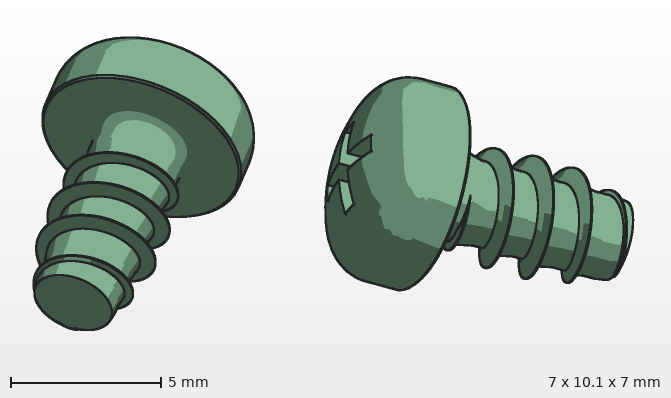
import cadquery as cq
import math

head_radius = 3.5
crown_height = 3.07
crown_radius = 5.86
head_edge_radius = 1.36
head_chamfer = 0.07

recess_width = 0.66
recess_length = 3.3
recess_depth = 1.8

shank_length = 7.0
neck_radius = 1.57
neck_fillet = 0.6
neck_end = -1.0
neck_cone_end = -1.63
core_radius = 1.41
tip_radius = 1.36
tip_taper_length = 0.35
tip_dimple_radius = 1.29
tip_dimple_depth = 0.1

pitch = 1.46
lead_in_turns = 1.5
full_turns = 1.5
run_out_turns = 1.55
thread_start = -0.435
start_angle = 90.0
points_per_turn = 24
thread_root_radius = 1.2

lead_in_section = [(0.30, 1.30), (0.12, 1.50), (0.02, 1.63), (-0.02, 1.63), (-0.05, 1.56), (-1.0, 1.38)]
full_section = [(0.37, 1.30), (0.15, 1.64), (0.02, 2.02), (-0.02, 2.02), (-0.19, 1.54), (-1.0, 1.38)]
run_out_section = [(0.07, 1.30), (0.05, 1.34), (0.02, 1.40), (-0.02, 1.40), (-0.05, 1.39), (-1.0, 1.24)]


def revolve_about_y(profile):
    return profile.close().revolve(360, (0, 0, 0), (0, 1, 0))


def make_body():
    """Head, neck and core of the shank as one turned body."""
    crown_centre = crown_height - crown_radius
    edge_x = head_radius - head_edge_radius
    centre_rise = math.sqrt((crown_radius - head_edge_radius) ** 2 - edge_x**2)
    edge_y = crown_centre + centre_rise
    blend_angle = math.atan2(centre_rise, edge_x)
    fillet_reach = neck_fillet * (1 - math.sqrt(0.5))

    def crown_point(angle):
        return (crown_radius * math.cos(angle), crown_centre + crown_radius * math.sin(angle))

    def edge_point(angle):
        return (edge_x + head_edge_radius * math.cos(angle), edge_y + head_edge_radius * math.sin(angle))

    profile = (
        cq.Workplane("XY")
        .moveTo(0, -shank_length)
        .lineTo(tip_radius, -shank_length)
        .lineTo(core_radius, tip_taper_length - shank_length)
        .lineTo(core_radius, neck_cone_end)
        .lineTo(neck_radius, neck_end)
        .lineTo(neck_radius, -neck_fillet)
        .threePointArc((neck_radius + fillet_reach, -fillet_reach), (neck_radius + neck_fillet, 0))
        .lineTo(head_radius - head_chamfer, 0)
        .lineTo(head_radius, head_chamfer)
        .lineTo(head_radius, edge_y)
        .threePointArc(edge_point(blend_angle / 2), edge_point(blend_angle))
        .threePointArc(crown_point((blend_angle + math.pi / 2) / 2), (0, crown_height))
    )
    return revolve_about_y(profile)


def make_recess():
    def wing(size_x, size_z):
        return cq.Workplane("XY").box(size_x, recess_depth, size_z).translate(
            (0, crown_height - recess_depth / 2, 0)
        )

    return wing(recess_length, recess_width).union(wing(recess_width, recess_length))


def blend_sections(first, last, fraction):
    return [
        (offset + fraction * (last_offset - offset), radius + fraction * (last_radius - radius))
        for (offset, radius), (last_offset, last_radius) in zip(first, last)
    ]


def thread_section(turn):
    """Closed section of the thread at a number of turns from its start."""
    if turn < lead_in_turns:
        surface = blend_sections(lead_in_section, full_section, turn / lead_in_turns)
    else:
        turns_faded = max(0, turn - lead_in_turns - full_turns)
        surface = blend_sections(full_section, run_out_section, turns_faded / run_out_turns)
    root = [(surface[-1][0], thread_root_radius), (surface[0][0], thread_root_radius)]
    return surface + root


def make_thread():
    total_turns = lead_in_turns + full_turns + run_out_turns
    steps = round(total_turns * points_per_turn)
    tracks = [[] for _ in thread_section(0)]
    turns = [total_turns * step / steps for step in range(steps + 1)]
    for turn in turns:
        angle = math.radians(start_angle) + 2 * math.pi * turn
        for track, (offset, radius) in zip(tracks, thread_section(turn)):
            y = thread_start - pitch * turn + offset
            track.append(cq.Vector(radius * math.cos(angle), y, radius * math.sin(angle)))
    edges = [cq.Edge.makeSpline(track, parameters=turns) for track in tracks]
    faces = [
        cq.Face.makeRuledSurface(edge, following)
        for edge, following in zip(edges, edges[1:] + edges[:1])
    ]
    for end in (0, -1):
        outline = cq.Wire.makePolygon([track[end] for track in tracks], close=True)
        faces.append(cq.Face.makeFromWires(outline))
    thread = cq.Solid.makeSolid(cq.Shell.makeShell(faces))
    return cq.Workplane("XY").add(thread.fix())


def make_thread_limits():
    """Cylinder between the neck and the tip that the thread is trimmed to."""
    length = shank_length + neck_end
    return cq.Workplane("XZ", origin=(0, neck_end, 0)).circle(head_radius).extrude(length)


def make_tip_dimple():
    profile = (
        cq.Workplane("XY")
        .moveTo(0, -shank_length)
        .lineTo(tip_dimple_radius, -shank_length)
        .lineTo(0, -shank_length + tip_dimple_depth)
    )
    return revolve_about_y(profile)


thread = make_thread().intersect(make_thread_limits())
screw = make_body().union(thread).cut(make_recess()).cut(make_tip_dimple())
result = cq.Workplane("XY").newObject([screw.solids().val()])